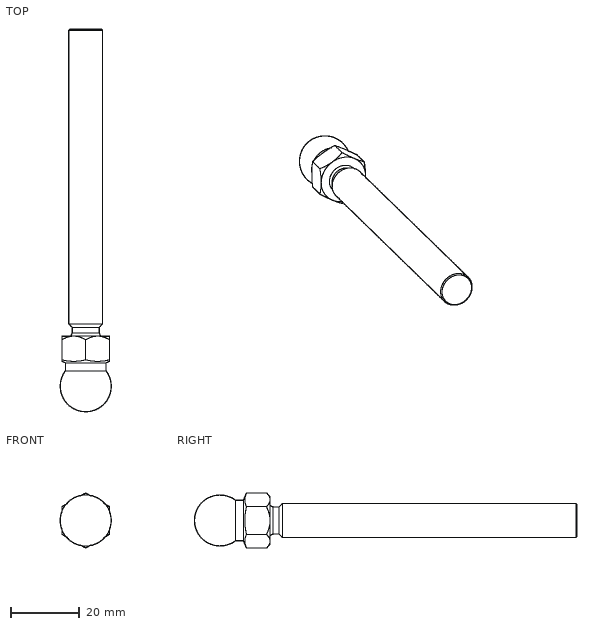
import cadquery as cq
import math

total_length = 111.9
ball_diameter = 15.0
collar_diameter = 12.0
shank_diameter = 10.0
neck_diameter = 8.0
hex_across_flats = 14.0

hex_front = 14.3
hex_back = 22.2
neck_start = 23.1
neck_end = 24.7
shank_start = 25.7

neck_root_diameter = 8.8
shank_end_chamfer = 0.3
hex_front_cone_length = 0.9

ball_radius = ball_diameter / 2
collar_radius = collar_diameter / 2
shank_radius = shank_diameter / 2
neck_radius = neck_diameter / 2
hex_flat_radius = hex_across_flats / 2
hex_corner_radius = hex_flat_radius / math.cos(math.pi / 6)
hex_back_chamfer = hex_corner_radius - hex_flat_radius


def turned_body():
    """Ball, collar, undercut neck and shank as one revolved profile of (radius, Y) points."""
    collar_start = ball_radius + math.sqrt(ball_radius**2 - collar_radius**2)
    profile = (
        cq.Workplane("XY")
        .moveTo(0, 0)
        .threePointArc((ball_radius, ball_radius), (collar_radius, collar_start))
        .lineTo(collar_radius, hex_back)
        .lineTo(neck_root_diameter / 2, hex_back)
        .lineTo(neck_radius, neck_start)
        .lineTo(neck_radius, neck_end)
        .lineTo(shank_radius, shank_start)
        .lineTo(shank_radius, total_length - shank_end_chamfer)
        .lineTo(shank_radius - shank_end_chamfer, total_length)
        .lineTo(0, total_length)
        .close()
    )
    return profile.revolve(360, (0, 0, 0), (0, 1, 0))


def wrench_hex():
    """Hexagon with corners on +Z and -Z, coned from the collar in front and chamfered behind."""
    prism = (
        cq.Workplane("XZ", origin=(0, hex_front, 0))
        .transformed(rotate=(0, 0, 90))
        .polygon(6, 2 * hex_corner_radius)
        .extrude(hex_front - hex_back)
    )
    turned_envelope = (
        cq.Workplane("XY")
        .moveTo(0, hex_front)
        .lineTo(collar_radius, hex_front)
        .lineTo(hex_corner_radius, hex_front + hex_front_cone_length)
        .lineTo(hex_corner_radius, hex_back - hex_back_chamfer)
        .lineTo(hex_flat_radius, hex_back)
        .lineTo(0, hex_back)
        .close()
        .revolve(360, (0, 0, 0), (0, 1, 0))
    )
    return prism.intersect(turned_envelope)


result = turned_body().union(wrench_hex())